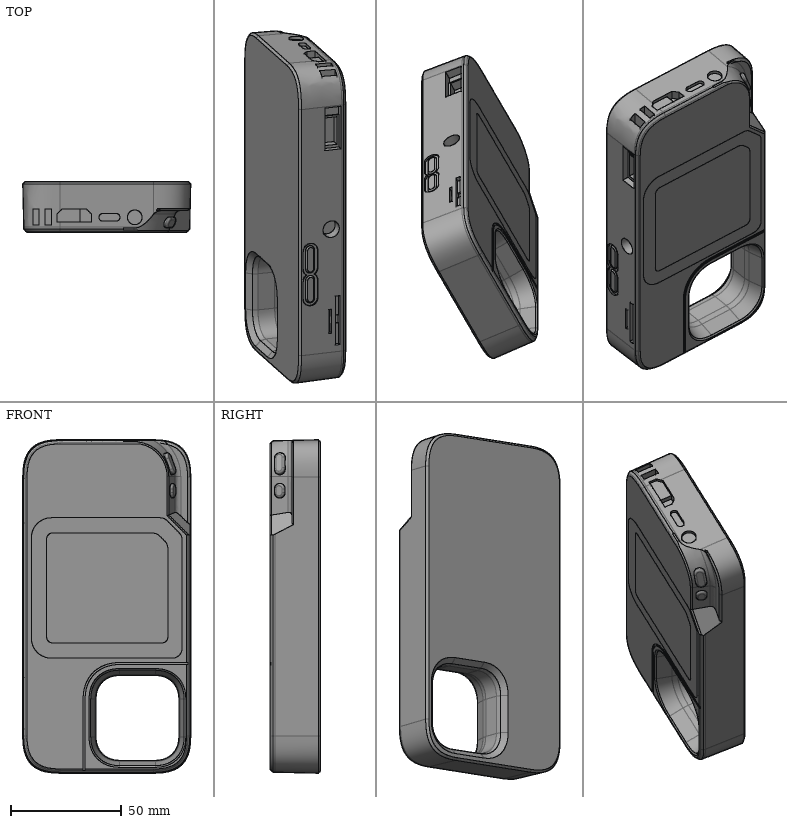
import cadquery as cq
import math

WIDTH = 76.3
DEPTH = 23.0
HEIGHT = 151.5
FRONT_Y = -DEPTH / 2
BACK_Y = DEPTH / 2

CORNER_REACH = 17.0
CORNER_PULL = 0.71
SIDE_DRAFT = 0.5
BACK_BEVEL = 1.0
SEAM_Y = -9.1
BEVEL_START_Y = -10.0
BEVEL_MID_Y = -11.0
BEVEL_MID_INSET = 1.4
FACE_INSET = 2.0

CAMERA_X = 14.0
CAMERA_Z = -50.6
CAMERA_WIDTH = 37.5
CAMERA_HEIGHT = 38.5
CAMERA_CORNER_REACH = 10.6
CAMERA_CORNER_PULL = 0.6
CAMERA_RIM_Y = -10.9
CAMERA_RIM_GROWTH = 3.2
CAMERA_CONE_GROWTH = 2.4
CAMERA_LEDGE_GROWTH = 0.5
CAMERA_LEDGE_Y = -4.1
CAMERA_THROAT_Y = -1.4
CAMERA_FLARE_Y = 6.7
CAMERA_FLARE_MID_Y = 9.1
CAMERA_FLARE_MID_GROWTH = 0.6
CAMERA_BACK_GROWTH = 3.0

GROOVE_OFFSET = 5.0
GROOVE_WIDTH = 0.9
GROOVE_DEPTH = 0.5

NOTCH_ARC_X = 12.3
NOTCH_ARC_Z = 59.0
NOTCH_ARC_RADIUS = 15.1
NOTCH_START_X = 7.5
NOTCH_RAMP_Z = 41.2
RAMP_ANGLE = 45.0
NOTCH_FLOOR_Y = -1.5
NOTCH_EDGE_BEVEL = 0.8
NOTCH_WALL_ANGLE = 21.0
NOTCH_FLOOR_FILLET = 2.7
NOTCH_RIM_INSET = 1.5
NOTCH_RIM_HEIGHT = 0.9

BUTTON_Y = -7.0
BUTTON_WIDTH = 5.2
BUTTON_RISE = 1.2
BUTTON_ROUNDING = 1.0
BUTTON_SINK = 1.5
LOWER_BUTTON_Z = 52.5
LOWER_BUTTON_LENGTH = 6.7
UPPER_BUTTON_ANGLE = 20.0
UPPER_BUTTON_LENGTH = 10.3

PORT_DEPTH = 1.8
VENT_XS = (-32.1, -26.5)
VENT_WIDTH = 2.9
VENT_FRONT_Y = -8.2
VENT_BACK_Y = -0.9
VENT_FLOOR_Z = 66.7
HDMI_LEFT = -22.5
HDMI_RIGHT = -7.0
HDMI_TAPER = 2.3
HDMI_FRONT_Y = -6.8
HDMI_SHOULDER_Y = -3.2
HDMI_BACK_Y = -0.9
HDMI_WELL_LEFT = -12.1
HDMI_WELL_DEPTH = 4.5
USB_X = 1.2
USB_Y = -4.7
USB_LENGTH = 9.5
USB_WIDTH = 3.5
JACK_X = 12.7
JACK_Y = -4.7
JACK_DIAMETER = 6.7

SOCKET_Y = -4.8
SOCKET_WIDTH = 7.7
SOCKET_BOTTOM_Z = 37.9
SOCKET_TOP_Z = 58.2
SOCKET_DEPTH = 3.3
SOCKET_STEP_Z = 53.3
SOCKET_STEP = 0.8
SOCKET_HOLE_WIDTH = 5.8
SOCKET_HOLE_BOTTOM_Z = 39.2
SOCKET_HOLE_TOP_Z = 52.4
SOCKET_HOLE_DEPTH = 7.5
TRIPOD_Y = -4.0
TRIPOD_DIAMETER = 7.9
TRIPOD_DEPTH = 6.0
KEY_Y = 6.0
KEY_ZS = (-13.5, -27.7)
KEY_MOAT_WIDTH = 7.1
KEY_MOAT_LENGTH = 15.5
KEY_MOAT_DEPTH = 0.9
KEY_WIDTH = 4.2
KEY_LENGTH = 13.0
KEY_BEVEL = 0.8
SLOT_DEPTH = 2.3
SLOT_STEP = 0.8
SLOT_STEP_BOTTOM_Z = -45.7
SLOT_STEP_TOP_Z = -42.0
WIDE_SLOT = (-7.1, 2.1, -55.6, -32.3)
NARROW_SLOT = (-3.5, 1.2, -49.7, -38.3)

INLAY_DEPTH = 0.9
FRAME_LEFT = -34.2
FRAME_RIGHT = 34.2
FRAME_BOTTOM = -23.5
FRAME_TOP = 40.3
FRAME_CLIP = 8.2
FRAME_BIG_RADIUS = 9.1
FRAME_SMALL_RADIUS = 4.5
PAD_LEFT = -27.3
PAD_RIGHT = 27.7
PAD_BOTTOM = -16.5
PAD_TOP = 33.3
PAD_CLIP = 5.0
PAD_RADIUS = 2.5
CLIP_RADIUS = 4.5


def plane_at(y):
    """Workplane in X and Z at depth y, facing -Y."""
    return cq.Workplane("XZ", origin=(0, y, 0))


def soft_rectangle(y, center_x, center_z, width, height, reach, pull):
    """Rectangle with Bezier corners that run `reach` along each side; a higher pull is squarer."""
    half_w = width / 2
    half_h = height / 2
    handle = reach * (1 - pull)
    sketch = plane_at(y).center(center_x, center_z).moveTo(half_w - reach, half_h)
    for x_sign, z_sign, starts_on_top in ((1, 1, True), (1, -1, False), (-1, -1, True), (-1, 1, False)):
        x = x_sign * half_w
        z = z_sign * half_h
        on_level = [(x - x_sign * reach, z), (x - x_sign * handle, z)]
        on_upright = [(x, z - z_sign * handle), (x, z - z_sign * reach)]
        curve = on_level + on_upright
        if not starts_on_top:
            curve.reverse()
        if (x_sign, z_sign) != (1, 1):
            sketch = sketch.lineTo(*curve[0])
        sketch = sketch.bezier(curve[1:], includeCurrent=True)
    return sketch.close()


def housing_outline(y, inset):
    return soft_rectangle(
        y, 0, 0, WIDTH - 2 * inset, HEIGHT - 2 * inset, CORNER_REACH - inset, CORNER_PULL
    )


def camera_outline(y, growth):
    return soft_rectangle(
        y, CAMERA_X, CAMERA_Z,
        CAMERA_WIDTH + 2 * growth, CAMERA_HEIGHT + 2 * growth,
        CAMERA_CORNER_REACH + growth, CAMERA_CORNER_PULL,
    )


def ruled_loft(outlines):
    return cq.Workplane(cq.Solid.makeLoft([outline.val() for outline in outlines], True))


def make_shell():
    return ruled_loft([
        housing_outline(BACK_Y, BACK_BEVEL),
        housing_outline(BACK_Y - BACK_BEVEL, 0),
        housing_outline(SEAM_Y, SIDE_DRAFT),
        housing_outline(BEVEL_START_Y, SIDE_DRAFT),
        housing_outline(BEVEL_MID_Y, BEVEL_MID_INSET),
        housing_outline(FRONT_Y, FACE_INSET),
    ])


def make_camera_window():
    return ruled_loft([
        camera_outline(FRONT_Y, CAMERA_RIM_GROWTH),
        camera_outline(CAMERA_RIM_Y, CAMERA_CONE_GROWTH),
        camera_outline(CAMERA_LEDGE_Y, CAMERA_LEDGE_GROWTH),
        camera_outline(CAMERA_THROAT_Y, 0),
        camera_outline(CAMERA_FLARE_Y, 0),
        camera_outline(CAMERA_FLARE_MID_Y, CAMERA_FLARE_MID_GROWTH),
        camera_outline(BACK_Y, CAMERA_BACK_GROWTH),
    ])


def make_camera_groove():
    """Upper left part of a band around the window, carried straight on to both edges."""
    left = CAMERA_X - CAMERA_WIDTH / 2 - GROOVE_OFFSET
    top = CAMERA_Z + CAMERA_HEIGHT / 2 + GROOVE_OFFSET
    reach = CAMERA_CORNER_REACH + GROOVE_OFFSET
    size = HEIGHT

    def corner_block(grow):
        center_x = left - grow + size / 2
        center_z = top + grow - size / 2
        outline = soft_rectangle(
            FRONT_Y, center_x, center_z, size, size, reach + grow, CAMERA_CORNER_PULL
        )
        return outline.extrude(-GROOVE_DEPTH)

    return corner_block(GROOVE_WIDTH).cut(corner_block(0))


def notch_lean(y):
    """Outward shift of the notch wall at depth y, measured from the front outline."""
    if y == FRONT_Y:
        return 0
    wall_depth = y - FRONT_Y - NOTCH_EDGE_BEVEL
    return NOTCH_EDGE_BEVEL + wall_depth * math.tan(math.radians(NOTCH_WALL_ANGLE))


def notch_outline(y):
    """Section of the notch cutter; the arc and the walls move outward with depth."""
    lean = notch_lean(y)
    radius = NOTCH_ARC_RADIUS + lean
    wall_x = NOTCH_ARC_X + radius
    diagonal = radius * math.sqrt(0.5)
    ramp_z = NOTCH_RAMP_Z + lean * math.tan(math.radians(RAMP_ANGLE / 2))
    far_x = WIDTH
    ramp_drop = (far_x - wall_x) * math.tan(math.radians(RAMP_ANGLE))
    return (
        plane_at(y)
        .moveTo(NOTCH_START_X, NOTCH_ARC_Z + radius)
        .lineTo(NOTCH_ARC_X, NOTCH_ARC_Z + radius)
        .threePointArc((NOTCH_ARC_X + diagonal, NOTCH_ARC_Z + diagonal), (wall_x, NOTCH_ARC_Z))
        .lineTo(wall_x, ramp_z)
        .lineTo(far_x, ramp_z - ramp_drop)
        .lineTo(far_x, HEIGHT)
        .lineTo(NOTCH_START_X, HEIGHT)
        .close()
    )


def make_notch():
    depths = (FRONT_Y, FRONT_Y + NOTCH_EDGE_BEVEL, NOTCH_FLOOR_Y)
    cutter = ruled_loft([notch_outline(y) for y in depths])
    reach = NOTCH_ARC_RADIUS * 2
    wall_foot = cq.selectors.BoxSelector(
        (NOTCH_START_X, NOTCH_FLOOR_Y - 0.2, NOTCH_RAMP_Z - reach),
        (NOTCH_ARC_X + reach, NOTCH_FLOOR_Y + 0.2, NOTCH_ARC_Z + reach),
    )
    return cutter.edges(wall_foot).fillet(NOTCH_FLOOR_FILLET)


def make_notch_rim_bevel():
    """Bevel where the notch floor meets the outer wall of the housing."""
    bevel_end_y = NOTCH_FLOOR_Y + NOTCH_RIM_HEIGHT
    band = ruled_loft([notch_outline(NOTCH_FLOOR_Y), notch_outline(bevel_end_y)])
    kept_core = ruled_loft([
        housing_outline(NOTCH_FLOOR_Y, NOTCH_RIM_INSET),
        housing_outline(bevel_end_y, 0),
    ])
    return band.cut(kept_core)


def make_notch_button(angle, z, length):
    """Pill standing on the notch wall; `angle` turns it around the notch arc."""
    pill = (
        cq.Workplane("YZ")
        .slot2D(length, BUTTON_WIDTH, 90)
        .extrude(BUTTON_SINK + BUTTON_RISE)
        .faces(">X").edges().fillet(BUTTON_ROUNDING)
        .translate((-BUTTON_SINK, 0, 0))
        .rotate((0, 0, 0), (0, 0, 1), -NOTCH_WALL_ANGLE)
        .translate((NOTCH_ARC_X + NOTCH_ARC_RADIUS + notch_lean(BUTTON_Y), BUTTON_Y, z))
    )
    axis_start = (NOTCH_ARC_X, 0, NOTCH_ARC_Z)
    axis_end = (NOTCH_ARC_X, -1, NOTCH_ARC_Z)
    return pill.rotate(axis_start, axis_end, angle)


def top_plane():
    return cq.Workplane("XY", origin=(0, 0, HEIGHT / 2))


def hdmi_pocket(depth):
    return (
        top_plane()
        .polyline([
            (HDMI_LEFT, HDMI_FRONT_Y),
            (HDMI_RIGHT, HDMI_FRONT_Y),
            (HDMI_RIGHT, HDMI_SHOULDER_Y),
            (HDMI_RIGHT - HDMI_TAPER, HDMI_BACK_Y),
            (HDMI_LEFT + HDMI_TAPER, HDMI_BACK_Y),
            (HDMI_LEFT, HDMI_SHOULDER_Y),
        ])
        .close()
        .extrude(-depth)
    )


def make_top_openings():
    hdmi = hdmi_pocket(PORT_DEPTH)
    well_side = top_plane().rect(-2 * HDMI_WELL_LEFT, DEPTH).extrude(-HDMI_WELL_DEPTH)
    hdmi_well = hdmi_pocket(HDMI_WELL_DEPTH).intersect(well_side)
    usb = top_plane().center(USB_X, USB_Y).slot2D(USB_LENGTH, USB_WIDTH).extrude(-PORT_DEPTH)
    jack = top_plane().center(JACK_X, JACK_Y).circle(JACK_DIAMETER / 2).extrude(-PORT_DEPTH)
    vents = (
        top_plane()
        .pushPoints([(x, (VENT_FRONT_Y + VENT_BACK_Y) / 2) for x in VENT_XS])
        .rect(VENT_WIDTH, VENT_BACK_Y - VENT_FRONT_Y)
        .extrude(VENT_FLOOR_Z - HEIGHT / 2)
    )
    return [hdmi, hdmi_well, usb, jack, vents]


def side_plane():
    return cq.Workplane("YZ", origin=(-WIDTH / 2, 0, 0))


def side_pocket(center_y, width, bottom_z, top_z, depth):
    return (
        side_plane()
        .center(center_y, (bottom_z + top_z) / 2)
        .rect(width, top_z - bottom_z)
        .extrude(depth)
    )


def make_side_openings():
    socket = side_pocket(SOCKET_Y, SOCKET_WIDTH, SOCKET_BOTTOM_Z, SOCKET_TOP_Z, SOCKET_DEPTH)
    socket_step = side_pocket(
        SOCKET_Y, SOCKET_WIDTH, SOCKET_STEP_Z, SOCKET_TOP_Z, SOCKET_DEPTH + SOCKET_STEP
    )
    socket_hole = side_pocket(
        SOCKET_Y, SOCKET_HOLE_WIDTH, SOCKET_HOLE_BOTTOM_Z, SOCKET_HOLE_TOP_Z, SOCKET_HOLE_DEPTH
    )
    tripod = side_plane().center(TRIPOD_Y, 0).circle(TRIPOD_DIAMETER / 2).extrude(TRIPOD_DEPTH)
    openings = [socket, socket_step, socket_hole, tripod]
    for center_y, width, bottom_z, top_z in (WIDE_SLOT, NARROW_SLOT):
        openings.append(side_pocket(center_y, width, bottom_z, top_z, SLOT_DEPTH))
        openings.append(
            side_pocket(center_y, width, SLOT_STEP_BOTTOM_Z, SLOT_STEP_TOP_Z, SLOT_DEPTH + SLOT_STEP)
        )
    return openings


def make_key_moats():
    """Two joined pill recesses, each with a bevelled key left standing."""
    centers = [(KEY_Y, z) for z in KEY_ZS]
    moats = (
        side_plane()
        .pushPoints(centers)
        .slot2D(KEY_MOAT_LENGTH, KEY_MOAT_WIDTH, 90)
        .extrude(KEY_MOAT_DEPTH)
    )
    keys = (
        side_plane()
        .pushPoints(centers)
        .slot2D(KEY_LENGTH, KEY_WIDTH, 90)
        .extrude(KEY_MOAT_DEPTH)
        .faces("<X").edges().chamfer(KEY_BEVEL)
    )
    return moats.cut(keys)


def clipped_slab(left, right, bottom, top, clip, left_radius, lower_right_radius):
    """Slab in the front face with rounded corners and a clipped upper right one."""
    slab = (
        plane_at(FRONT_Y)
        .polyline([
            (left, bottom), (right, bottom), (right, top - clip), (right - clip, top), (left, top)
        ])
        .close()
        .extrude(-INLAY_DEPTH)
    )
    slab = slab.edges("|Y and <X").fillet(left_radius)
    right_corners = [
        (right, bottom, lower_right_radius),
        (right, top - clip, CLIP_RADIUS),
        (right - clip, top, CLIP_RADIUS),
    ]
    for x, z, radius in right_corners:
        corner = cq.selectors.NearestToPointSelector((x, FRONT_Y + INLAY_DEPTH / 2, z))
        slab = slab.edges(corner).fillet(radius)
    return slab


def make_pad():
    return clipped_slab(PAD_LEFT, PAD_RIGHT, PAD_BOTTOM, PAD_TOP, PAD_CLIP, PAD_RADIUS, PAD_RADIUS)


def make_inlay():
    """Full slab taken up by the frame and the pad together."""
    return clipped_slab(
        FRAME_LEFT, FRAME_RIGHT, FRAME_BOTTOM, FRAME_TOP,
        FRAME_CLIP, FRAME_BIG_RADIUS, FRAME_SMALL_RADIUS,
    )


def make_housing():
    body = make_shell().cut(make_notch()).cut(make_notch_rim_bevel())
    body = body.union(make_notch_button(0, LOWER_BUTTON_Z, LOWER_BUTTON_LENGTH))
    body = body.union(make_notch_button(UPPER_BUTTON_ANGLE, NOTCH_ARC_Z, UPPER_BUTTON_LENGTH))
    cutters = [make_camera_window(), make_camera_groove(), make_key_moats(), make_inlay()]
    cutters += make_top_openings() + make_side_openings()
    for cutter in cutters:
        body = body.cut(cutter)
    return body


housing = make_housing()
pad = make_pad()
frame = make_inlay().cut(pad)

result = cq.Compound.makeCompound([housing.val(), frame.val(), pad.val()])